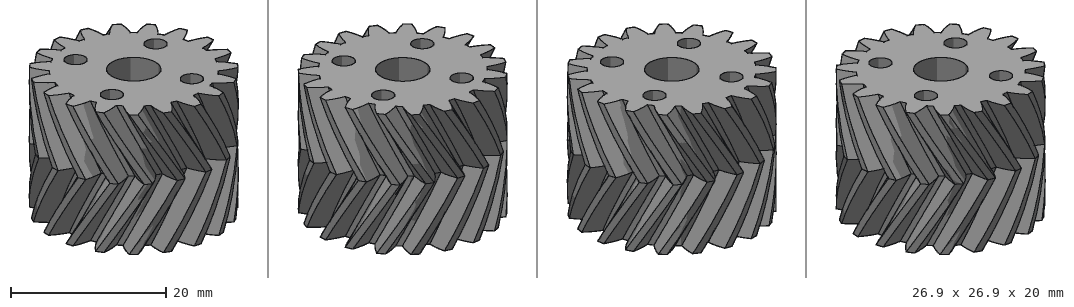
import cadquery as cq
import math

TIP_DIAMETER = 26.93
TOTAL_HEIGHT = 20.0
GEAR_HEIGHT = TOTAL_HEIGHT / 2

TOOTH_COUNT = 19
TOOTH_PITCH = 360 / TOOTH_COUNT
MODULE = TIP_DIAMETER / (TOOTH_COUNT + 2)
TIP_RADIUS = TIP_DIAMETER / 2
PITCH_RADIUS = TIP_RADIUS - MODULE
ROOT_RADIUS = PITCH_RADIUS - MODULE

ROOT_HALF_ANGLE = 7.2
PITCH_HALF_ANGLE = 5.0
TIP_HALF_ANGLE = 2.4

HELIX_ANGLE = 30.0
TWIST = math.degrees(GEAR_HEIGHT * math.tan(math.radians(HELIX_ANGLE)) / PITCH_RADIUS)
END_TOOTH_ANGLE = 6.3

BORE_DIAMETER = 7.0
BOLT_HOLE_DIAMETER = 3.0
BOLT_HOLE_COUNT = 4
BOLT_CIRCLE_RADIUS = 8.0


def polar(radius, degrees):
    """Point at a radius and an angle from the X axis."""
    angle = math.radians(degrees)
    return (radius * math.cos(angle), radius * math.sin(angle))


def gear_outline(first_tooth_angle):
    """Closed outline of all the teeth, with a tooth centred on the given angle and each flank an arc."""
    outline = cq.Workplane("XY").moveTo(*polar(ROOT_RADIUS, first_tooth_angle - ROOT_HALF_ANGLE))
    for tooth in range(TOOTH_COUNT):
        centre = first_tooth_angle + tooth * TOOTH_PITCH
        next_tooth = centre + TOOTH_PITCH
        outline = (
            outline
            .threePointArc(
                polar(PITCH_RADIUS, centre - PITCH_HALF_ANGLE),
                polar(TIP_RADIUS, centre - TIP_HALF_ANGLE),
            )
            .threePointArc(polar(TIP_RADIUS, centre), polar(TIP_RADIUS, centre + TIP_HALF_ANGLE))
            .threePointArc(
                polar(PITCH_RADIUS, centre + PITCH_HALF_ANGLE),
                polar(ROOT_RADIUS, centre + ROOT_HALF_ANGLE),
            )
            .threePointArc(
                polar(ROOT_RADIUS, centre + TOOTH_PITCH / 2),
                polar(ROOT_RADIUS, next_tooth - ROOT_HALF_ANGLE),
            )
        )
    return outline.close()


def upper_gear():
    """Helical gear standing on the plane where the two gears meet."""
    gear = gear_outline(END_TOOTH_ANGLE + TWIST).twistExtrude(GEAR_HEIGHT, -TWIST)
    bore = cq.Workplane("XY").circle(BORE_DIAMETER / 2).extrude(GEAR_HEIGHT)
    bolt_holes = (
        cq.Workplane("XY")
        .polarArray(BOLT_CIRCLE_RADIUS, 0, 360, BOLT_HOLE_COUNT)
        .circle(BOLT_HOLE_DIAMETER / 2)
        .extrude(GEAR_HEIGHT)
    )
    return gear.cut(bore).cut(bolt_holes)


def lower_gear():
    """Helical gear of the opposite hand, the mirror image of the upper one."""
    return upper_gear().mirror("XY")


result = cq.Compound.makeCompound([upper_gear().val(), lower_gear().val()])